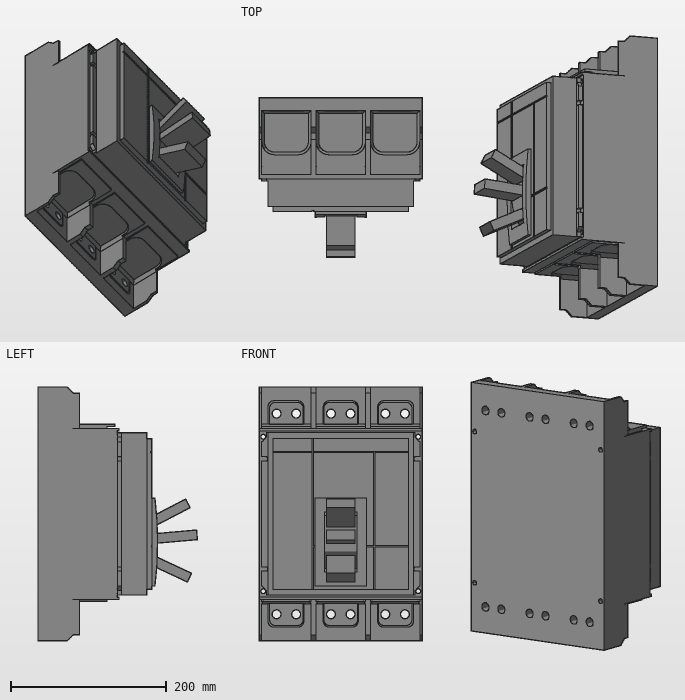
import cadquery as cq


WIDTH = 210.0
HEIGHT = 326.5
BODY_HALF_HEIGHT = 110.0
BODY_DEPTH = 102.2
LIP_HEIGHT = 3.3
LIP_DEPTH = 104.5

WING_DEPTH = 53.5
WING_STEP_DEPTH = 45.5
WING_CHAMFER = 8.0
WING_SIDE_INSET = 0.5

BAY_PITCH = 70.0
BAY_WIDTH = 63.5
BAY_BACK = 16.5
BAY_CENTRES = (-BAY_PITCH, 0, BAY_PITCH)
NECK_HEIGHT = 2.3
NECK_DEPTH = 89.0
SHELF_HEIGHT = 3.3
UPPER_SHELF_DEPTH = 99.0
RECESS_FRONT = 73.5
RECESS_RADIUS = 16.5
RECESS_TAPER = 32

PAD_STEP = 0.15
PAD_HALF_WIDTH = 22.5
PAD_TOP = 145.7
PAD_RADIUS = 8.2
PAD_OUTER_EXTRA = 1.3
FACE_HALF_WIDTH = 21.5
FACE_TOP = 143.5
FACE_RADIUS = 7.2
TERMINAL_HOLE_Z = 129.0
TERMINAL_HOLE_SPACING = 25.0
TERMINAL_HOLE_DIAMETER = 11.0

PLATE_HALF_WIDTH = 101.5
PLATE_FRONT = 107.5
CORNER_HALF_WIDTH = 95.7
CORNER_TOP_Z = 98.5
CORNER_LOW_Z = 92.5
NOTCH_WIDTH = 5.5
NOTCH_RADIUS = 1.5
NOTCH_Z = 71.0
NOTCH_END_X = 94.5
MOUNT_HOLE_X = 99.5
MOUNT_HOLE_Z = 99.3
MOUNT_HOLE_DIAMETER = 6.0

COVER_HALF_WIDTH = 93.7
COVER_HALF_HEIGHT = 104.5
COVER_FRONT = 140.0
PANEL_HALF_WIDTH = 87.2
PANEL_HALF_HEIGHT = 97.0
PANEL_FRONT = 146.5
GROOVE_WIDTH = 2.0
GROOVE_DEPTH = 1.3
LEFT_GROOVE_X = -36.0
RIGHT_GROOVE_X = 42.8
UPPER_GROOVE_Z = 79.5
UPPER_GROOVE_WIDTH = 1.3
LOWER_GROOVE_Z = -41.5

PIVOT_Z = -36.3
PIVOT_DEPTH = 97.0
ESCUTCHEON_HALF_WIDTH = 33.0
ESCUTCHEON_HALF_HEIGHT = 56.5
ESCUTCHEON_EDGE_DEPTH = 150.5
ESCUTCHEON_CROWN_DEPTH = 154.0
WINDOW_HALF_WIDTH = 20.5
WINDOW_HALF_HEIGHT = 38.5
DRUM_RADIUS = 55.0
TOGGLE_WIDTH = 37.2
TOGGLE_THICKNESS = 12.7
TOGGLE_REACH = 108.0
TOGGLE_ANGLES = (27.5, 5, -25)


def band(centre, width):
    """Range of the given width around a centre."""
    return (centre - width / 2, centre + width / 2)


def block(x_range, z_range, depth_range):
    """Axis-aligned box between two X values, two Z values and two depths."""
    x0, x1 = x_range
    z0, z1 = z_range
    d0, d1 = depth_range
    size = (x1 - x0, d1 - d0, z1 - z0)
    return cq.Workplane("XY").box(*size, centered=False).translate((x0, -d1, z0))


def centred_block(half_width, half_height, depth_range):
    return block((-half_width, half_width), (-half_height, half_height), depth_range)


def front_plane(depth):
    """Workplane facing the front: local x = X, local y = Z, extruding towards -Y."""
    return cq.Workplane("XZ").workplane(offset=depth)


def through_holes(points, diameter):
    return front_plane(0).pushPoints(points).circle(diameter / 2).extrude(BODY_DEPTH)


def mirrored_points(x, z):
    return [(sx * x, sz * z) for sx in (-1, 1) for sz in (-1, 1)]


def base():
    half_width = WIDTH / 2
    half_height = HEIGHT / 2
    back = centred_block(half_width, half_height, (0, WING_STEP_DEPTH))
    back = back.faces("<Y").edges("|X").chamfer(WING_CHAMFER)

    front_half_width = half_width - WING_SIDE_INSET
    wing_front = (
        cq.Workplane("XY")
        .workplane(offset=-half_height + WING_CHAMFER)
        .polyline([
            (-half_width, -WING_STEP_DEPTH),
            (half_width, -WING_STEP_DEPTH),
            (front_half_width, -WING_DEPTH),
            (-front_half_width, -WING_DEPTH),
        ])
        .close()
        .extrude(HEIGHT - 2 * WING_CHAMFER)
    )

    body = centred_block(half_width, BODY_HALF_HEIGHT, (0, LIP_DEPTH))
    lip_recess = centred_block(half_width, BODY_HALF_HEIGHT - LIP_HEIGHT, (BODY_DEPTH, LIP_DEPTH))
    return back.union(wing_front).union(body.cut(lip_recess))


def bay_cavity(x):
    sides = band(x, BAY_WIDTH)
    return block(sides, (BODY_HALF_HEIGHT, HEIGHT / 2), (BAY_BACK, LIP_DEPTH))


def terminal_pad(x_range, top, radius, height):
    """Plate on the bay's back wall with two rounded top corners."""
    pad = block(x_range, (BODY_HALF_HEIGHT, top), (BAY_BACK, BAY_BACK + height))
    return pad.faces(">Z").edges("|Y").fillet(radius)


def bay_floor(x, shelf_depth):
    """Neck, recessed shelf and stepped terminal pad of an upper bay."""
    sides = band(x, BAY_WIDTH)
    neck_top = BODY_HALF_HEIGHT + NECK_HEIGHT
    shelf_top = neck_top + SHELF_HEIGHT
    neck = block(sides, (BODY_HALF_HEIGHT, neck_top), (BAY_BACK, NECK_DEPTH))
    shelf = block(sides, (neck_top, shelf_top), (BAY_BACK, shelf_depth))

    recess_length = RECESS_FRONT - BAY_BACK
    recess_outline = (
        cq.Sketch()
        .rect(BAY_WIDTH, recess_length)
        .vertices("<Y")
        .fillet(RECESS_RADIUS)
    )
    recess = (
        cq.Workplane("XY", origin=(x, -BAY_BACK - recess_length / 2, shelf_top))
        .placeSketch(recess_outline)
        .extrude(-(SHELF_HEIGHT + NECK_HEIGHT), taper=RECESS_TAPER)
    )

    extra_left = PAD_OUTER_EXTRA if x < 0 else 0
    extra_right = PAD_OUTER_EXTRA if x > 0 else 0
    pad_sides = (x - PAD_HALF_WIDTH - extra_left, x + PAD_HALF_WIDTH + extra_right)
    face_sides = band(x, 2 * FACE_HALF_WIDTH)
    pad = terminal_pad(pad_sides, PAD_TOP, PAD_RADIUS, PAD_STEP)
    face = terminal_pad(face_sides, FACE_TOP, FACE_RADIUS, 2 * PAD_STEP)
    return neck.union(shelf).cut(recess).union(pad).union(face)


def terminal_holes():
    offset = TERMINAL_HOLE_SPACING / 2
    points = [
        (x + side * offset, z)
        for x in BAY_CENTRES
        for side in (-1, 1)
        for z in (-TERMINAL_HOLE_Z, TERMINAL_HOLE_Z)
    ]
    return through_holes(points, TERMINAL_HOLE_DIAMETER)


def spacer_plate():
    right_half = [
        (CORNER_HALF_WIDTH, -COVER_HALF_HEIGHT),
        (CORNER_HALF_WIDTH, -CORNER_TOP_Z),
        (PLATE_HALF_WIDTH, -CORNER_LOW_Z),
        (PLATE_HALF_WIDTH, CORNER_LOW_Z),
        (CORNER_HALF_WIDTH, CORNER_TOP_Z),
        (CORNER_HALF_WIDTH, COVER_HALF_HEIGHT),
    ]
    left_half = [(-x, -z) for x, z in right_half]
    thickness = PLATE_FRONT - BODY_DEPTH
    plate = front_plane(BODY_DEPTH).polyline(right_half + left_half).close().extrude(thickness)

    notch_length = 2 * (PLATE_HALF_WIDTH - NOTCH_END_X)
    notches = (
        front_plane(BODY_DEPTH)
        .pushPoints(mirrored_points(PLATE_HALF_WIDTH, NOTCH_Z))
        .rect(notch_length, NOTCH_WIDTH)
        .extrude(thickness)
        .edges("|Y")
        .fillet(NOTCH_RADIUS)
    )
    return plate.cut(notches)


def mounting_holes():
    return through_holes(mirrored_points(MOUNT_HOLE_X, MOUNT_HOLE_Z), MOUNT_HOLE_DIAMETER)


def front_panel():
    panel = centred_block(PANEL_HALF_WIDTH, PANEL_HALF_HEIGHT, (COVER_FRONT, PANEL_FRONT))
    full_width = (-PANEL_HALF_WIDTH, PANEL_HALF_WIDTH)
    full_height = (-PANEL_HALF_HEIGHT, PANEL_HALF_HEIGHT)
    below_upper_groove = (-PANEL_HALF_HEIGHT, UPPER_GROOVE_Z)
    right_of_left_groove = (LEFT_GROOVE_X, PANEL_HALF_WIDTH)
    grooves = [
        (band(LEFT_GROOVE_X, GROOVE_WIDTH), full_height),
        (band(RIGHT_GROOVE_X, GROOVE_WIDTH), below_upper_groove),
        (full_width, band(UPPER_GROOVE_Z, UPPER_GROOVE_WIDTH)),
        (right_of_left_groove, band(LOWER_GROOVE_Z, GROOVE_WIDTH)),
    ]
    for x_range, z_range in grooves:
        panel = panel.cut(block(x_range, z_range, (PANEL_FRONT - GROOVE_DEPTH, PANEL_FRONT)))
    return panel


def escutcheon():
    """Plate with a gently curved front."""
    bottom = PIVOT_Z - ESCUTCHEON_HALF_HEIGHT
    top = PIVOT_Z + ESCUTCHEON_HALF_HEIGHT
    return (
        cq.Workplane("YZ")
        .moveTo(-COVER_FRONT, bottom)
        .lineTo(-ESCUTCHEON_EDGE_DEPTH, bottom)
        .threePointArc((-ESCUTCHEON_CROWN_DEPTH, PIVOT_Z), (-ESCUTCHEON_EDGE_DEPTH, top))
        .lineTo(-COVER_FRONT, top)
        .close()
        .extrude(ESCUTCHEON_HALF_WIDTH, both=True)
    )


def toggle_window():
    return block(
        band(0, 2 * WINDOW_HALF_WIDTH),
        band(PIVOT_Z, 2 * WINDOW_HALF_HEIGHT),
        (COVER_FRONT, ESCUTCHEON_CROWN_DEPTH),
    )


def toggle_drum():
    return (
        cq.Workplane("YZ", origin=(0, -PIVOT_DEPTH, PIVOT_Z))
        .circle(DRUM_RADIUS)
        .extrude(WINDOW_HALF_WIDTH, both=True)
        .intersect(toggle_window())
    )


def toggle(angle):
    """Lever in one of its positions, raised by an angle above the horizontal."""
    lever = block(
        band(0, TOGGLE_WIDTH),
        band(PIVOT_Z, TOGGLE_THICKNESS),
        (PIVOT_DEPTH, PIVOT_DEPTH + TOGGLE_REACH),
    )
    return lever.rotate((0, -PIVOT_DEPTH, PIVOT_Z), (1, -PIVOT_DEPTH, PIVOT_Z), -angle)


result = base()
for bay_x in BAY_CENTRES:
    cavity = bay_cavity(bay_x)
    result = result.cut(cavity).cut(cavity.mirror("XY"))
    result = result.union(bay_floor(bay_x, UPPER_SHELF_DEPTH))
    result = result.union(bay_floor(bay_x, WING_DEPTH).mirror("XY"))

result = result.union(spacer_plate())
result = result.cut(terminal_holes()).cut(mounting_holes())

result = result.union(centred_block(COVER_HALF_WIDTH, COVER_HALF_HEIGHT, (PLATE_FRONT, COVER_FRONT)))
result = result.union(front_panel()).union(escutcheon())
result = result.cut(toggle_window()).union(toggle_drum())
for toggle_angle in TOGGLE_ANGLES:
    result = result.union(toggle(toggle_angle))